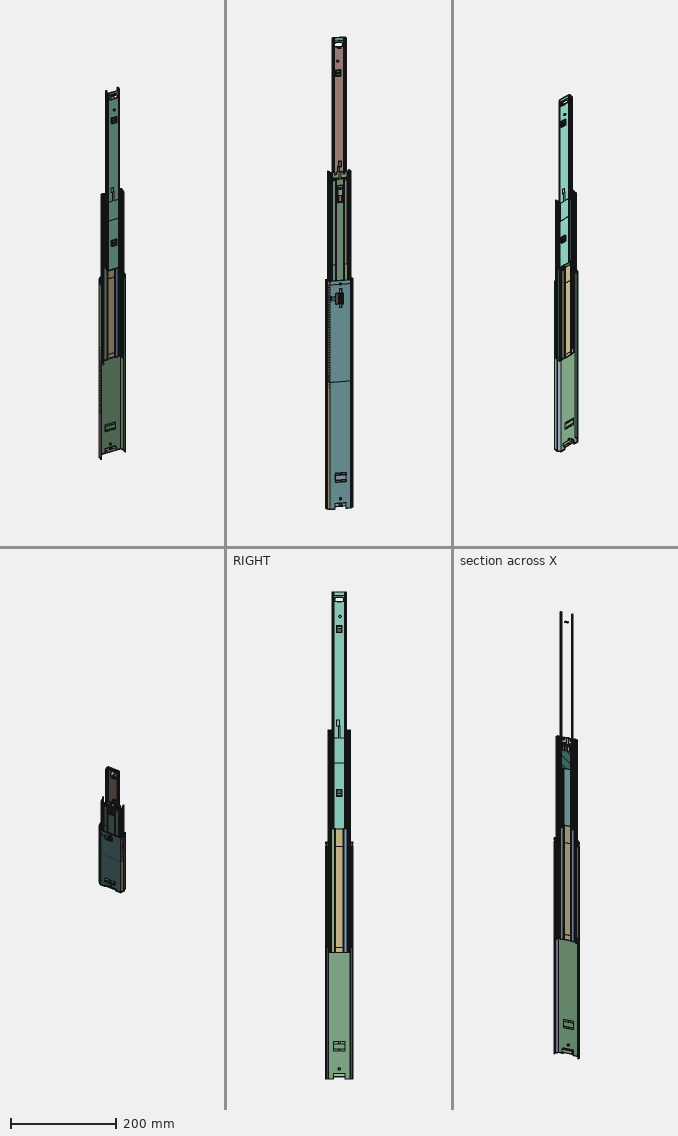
import cadquery as cq
import math


THICKNESS = 22.14
WIDTH = 51.89
LENGTH = 925.0

OUTER_LENGTH = 450.0
MIDDLE_BOTTOM = 240.0
MIDDLE_TOP = 663.0
INNER_LENGTH = 450.0
INNER_BOTTOM = LENGTH - INNER_LENGTH

OUTER_SHEET = 1.5
MIDDLE_SHEET = 1.3
INNER_SHEET = 1.3
BALL_GROOVE = 0.8

OUTER_BACK = 2.9
OUTER_FRONT = 16.6
MIDDLE_BACK = 6.0
MIDDLE_FRONT = 19.2
INNER_BACK = 9.8
INNER_FRONT = 19.15

OUTER_HALF = WIDTH / 2
MIDDLE_HALF = 21.45
INNER_HALF = 13.3

SMALL_HOLE = 4.0


def block(x_range, y_range, z_range):
    """Box between the given limits."""
    size = [high - low for low, high in (x_range, y_range, z_range)]
    return cq.Workplane("XY").box(*size, centered=False).translate((x_range[0], y_range[0], z_range[0]))


def hole_along_x(diameter, y, z):
    """Round cutter that crosses the whole slide along X."""
    return cq.Workplane("YZ").center(y, z).circle(diameter / 2).extrude(THICKNESS)


def unit_normal(start, end):
    """Left-hand unit normal of a segment."""
    dx, dy = end[0] - start[0], end[1] - start[1]
    length = math.hypot(dx, dy)
    return -dy / length, dx / length


def sheet_face(centreline, offset):
    """Points of the centreline moved sideways by the offset, with mitred corners."""
    normals = [unit_normal(a, b) for a, b in zip(centreline, centreline[1:])]
    before = normals[:1] + normals
    after = normals + normals[-1:]
    face = []
    for (x, y), (ax, ay), (bx, by) in zip(centreline, before, after):
        scale = offset / (1 + ax * bx + ay * by)
        face.append((x + scale * (ax + bx), y + scale * (ay + by)))
    return face


def bent_rail(half_centreline, sheet, bottom, top):
    """Sheet section given by the +Y half of its centreline, mirrored and extruded along Z."""
    mirrored = [(x, -y) for x, y in reversed(half_centreline)]
    centreline = mirrored + half_centreline
    outline = sheet_face(centreline, sheet / 2) + sheet_face(centreline, -sheet / 2)[::-1]
    section = cq.Workplane("XY").polyline(outline).close()
    return section.extrude(top - bottom).translate((0, 0, bottom))



WEB_HOLE_TO_END = 7.0
LOWER_HOLE_Z = 19.5
OUTER_WEB_HALF = 20.6
OUTER_SLANT_END = 8.8
OUTER_LIP_RADIUS = 0.49 * OUTER_SHEET
OUTER_WEB_FRONT = OUTER_BACK + OUTER_SHEET

FOOT_HALF = 10.8
FOOT_TOP = 11.0
FOOT_STOP_BOTTOM = 4.5
FOOT_STOP_SETBACK = 0.5
FOOT_STOP_FRONT = 9.0
FOOT_RECESS = (5.0, 3.0, 1.0)

PAD_HALF = 10.5
PAD_SPLIT_HALF = 1.4
PAD_RANGES_Z = ((53.5, 57.0), (67.0, 71.0))
PAD_RECESS_DEPTH = 0.4

TIP_SLOT_Y = (16.9, 19.2)
TIP_SLOT_Z = (411.0, 419.0)

FLANGE_GROOVE_Z = (443.0, 447.5)
GROOVE_DEPTH = 0.5


def flange_grooves():
    """Shallow cut across the outside of both flanges."""
    groove = block((OUTER_BACK, OUTER_FRONT), (OUTER_HALF - GROOVE_DEPTH, OUTER_HALF), FLANGE_GROOVE_Z)
    return groove.union(groove.mirror("XZ"))


def mounting_pads():
    """Four pads standing out of the back of the web, two above two."""
    pads = cq.Workplane("XY")
    for z_range in PAD_RANGES_Z:
        pad = block((0, OUTER_BACK), (PAD_SPLIT_HALF, PAD_HALF), z_range)
        pads = pads.union(pad).union(pad.mirror("XZ"))
    return pads


def pad_recess():
    """Shallow recess of the web between the upper and lower pads."""
    z_range = (PAD_RANGES_Z[0][1], PAD_RANGES_Z[1][0])
    return block((OUTER_BACK, OUTER_BACK + PAD_RECESS_DEPTH), (-PAD_HALF, PAD_HALF), z_range)


def foot_stop():
    """Stop lug bent inward from the foot of the web, with a small recess in its back."""
    back = OUTER_BACK + FOOT_STOP_SETBACK
    stop = block((back, FOOT_STOP_FRONT), (-FOOT_HALF, FOOT_HALF), (FOOT_STOP_BOTTOM, FOOT_TOP))
    width, height, depth = FOOT_RECESS
    middle_z = (FOOT_STOP_BOTTOM + FOOT_TOP) / 2
    return stop.cut(block(
        (back, back + depth),
        (-width / 2, width / 2),
        (middle_z - height / 2, middle_z + height / 2),
    ))


def make_outer_rail():
    back = OUTER_BACK + OUTER_SHEET / 2
    side = OUTER_HALF - OUTER_SHEET / 2
    half = [
        (back, OUTER_WEB_HALF),
        (OUTER_SLANT_END, side),
        (OUTER_FRONT, side),
    ]
    rail = bent_rail(half, OUTER_SHEET, 0, OUTER_LENGTH)
    rail = rail.faces(">X").edges("|Z").fillet(OUTER_LIP_RADIUS)
    rail = rail.union(mounting_pads()).cut(pad_recess())
    rail = rail.cut(hole_along_x(SMALL_HOLE, 0, OUTER_LENGTH - WEB_HOLE_TO_END))
    rail = rail.cut(hole_along_x(SMALL_HOLE, 0, LOWER_HOLE_Z))
    rail = rail.cut(block((OUTER_BACK, OUTER_WEB_FRONT), (-FOOT_HALF, FOOT_HALF), (0, FOOT_TOP)))
    rail = rail.union(foot_stop())
    rail = rail.cut(block((OUTER_BACK, OUTER_WEB_FRONT), TIP_SLOT_Y, TIP_SLOT_Z))
    return rail.cut(flange_grooves())



CATCH_Y = (-4.5, 10.0)
CATCH_Z = (404.5, 425.5)
CATCH_STEM_HALF = 2.2
CATCH_STEM_Z = (397.0, 434.0)
CATCH_STEM_BACK = 1.9
CATCH_EAR_END = 13.0
CATCH_SLOTS_Y = (-2.0, 1.5, 5.0)
CATCH_SLOT_WIDTH = 1.2
CATCH_SLOT_Z = (407.0, 423.0)


def make_catch():
    body = block((0, OUTER_BACK), CATCH_Y, CATCH_Z)
    stem = block((CATCH_STEM_BACK, OUTER_BACK), (-CATCH_STEM_HALF, CATCH_STEM_HALF), CATCH_STEM_Z)
    catch = body.union(stem)
    for y in CATCH_SLOTS_Y:
        slot_y = (y - CATCH_SLOT_WIDTH / 2, y + CATCH_SLOT_WIDTH / 2)
        catch = catch.cut(block((0, CATCH_STEM_BACK), slot_y, CATCH_SLOT_Z))
    ear = block((CATCH_STEM_BACK, OUTER_BACK), (CATCH_Y[1], CATCH_EAR_END), TIP_SLOT_Z)
    return catch.union(ear)



RIB_HALF = 7.0
RIB_FOOT = 8.7
MIDDLE_FLAT = 7.15
MIDDLE_FLAT_HALF = 14.8
RIDGE_RISE = 0.9
RIDGE_END = 18.0
MIDDLE_GROOVE_X = 13.6
MIDDLE_GROOVE_HALF = 1.4
MIDDLE_WEB_TOP = 649.0
HEAD_HALF = 14.5
MIDDLE_NOTCH_Z = (243.5, 248.0)
MIDDLE_NOTCH_DEPTH = 2.4

DETENT_HALF = 5.0
DETENT_Z = (603.0, 637.0)
DETENT_BACK = 4.8
DETENT_SLOT_HALF = 2.4
DETENT_SLOT_Z = (604.5, 617.0)
DETENT_HOLE_Z = 631.0


def detent():
    """Raised catch plate on the rib, with a window and a hole down to the rib."""
    plate = block((DETENT_BACK, MIDDLE_BACK), (-DETENT_HALF, DETENT_HALF), DETENT_Z)
    slot = block((DETENT_BACK, MIDDLE_BACK), (-DETENT_SLOT_HALF, DETENT_SLOT_HALF), DETENT_SLOT_Z)
    return plate.cut(slot).cut(hole_along_x(SMALL_HOLE, 0, DETENT_HOLE_Z))


def make_middle_rail():
    back = MIDDLE_BACK + MIDDLE_SHEET / 2
    flat = MIDDLE_FLAT + MIDDLE_SHEET / 2
    side = MIDDLE_HALF - MIDDLE_SHEET / 2
    half = [
        (back, RIB_HALF),
        (flat, RIB_FOOT),
        (flat, MIDDLE_FLAT_HALF),
        (flat - RIDGE_RISE, MIDDLE_FLAT_HALF + RIDGE_RISE),
        (flat - RIDGE_RISE, RIDGE_END),
        (flat, RIDGE_END + RIDGE_RISE),
        (flat, side),
        (MIDDLE_GROOVE_X - MIDDLE_GROOVE_HALF, side),
        (MIDDLE_GROOVE_X, side - BALL_GROOVE),
        (MIDDLE_GROOVE_X + MIDDLE_GROOVE_HALF, side),
        (MIDDLE_FRONT - MIDDLE_SHEET / 2, side),
    ]
    rail = bent_rail(half, MIDDLE_SHEET, MIDDLE_BOTTOM, MIDDLE_TOP)
    head = block((0, MIDDLE_FRONT), (-HEAD_HALF, HEAD_HALF), (MIDDLE_WEB_TOP, MIDDLE_TOP))
    notch = block(
        (MIDDLE_FRONT - MIDDLE_NOTCH_DEPTH, MIDDLE_FRONT),
        (-MIDDLE_HALF, MIDDLE_HALF),
        MIDDLE_NOTCH_Z,
    )
    return rail.cut(head).cut(notch).union(detent())



HEAD_WINDOW_Y = (6.5, 10.0)
HEAD_WINDOW_Z = (658.0, MIDDLE_TOP)
HEAD_BASE_TOP = 651.5
HEAD_SPINE_HALF = 2.0


def make_head_bumper():
    x_range = (MIDDLE_FLAT, MIDDLE_FLAT + MIDDLE_SHEET)
    bumper = block(x_range, (-HEAD_HALF, HEAD_HALF), (MIDDLE_WEB_TOP, MIDDLE_TOP))
    base = block((MIDDLE_BACK, MIDDLE_FLAT), (-HEAD_HALF, HEAD_HALF), (MIDDLE_WEB_TOP, HEAD_BASE_TOP))
    spine = block((MIDDLE_BACK, MIDDLE_FLAT), (-HEAD_SPINE_HALF, HEAD_SPINE_HALF), (HEAD_BASE_TOP, MIDDLE_TOP))
    slot = block(x_range, HEAD_WINDOW_Y, HEAD_WINDOW_Z)
    return bumper.union(base).union(spine).cut(slot).cut(slot.mirror("XZ"))



INNER_WEB_BACK = INNER_FRONT - INNER_SHEET
INNER_WEB_HALF = 10.5
INNER_BEND_X = 17.0
INNER_GROOVE_X = 12.6
INNER_GROOVE_HALF = 1.0
INNER_LIP_HALF = 10.5
WINDOW_HALF = 8.3
WINDOW_Z = (907.0, 915.0)
WINDOW_CORNER = 2.5
STOP_TAB_HALF = 3.0
STOP_TAB_BACK = 9.5
TIP_RELIEF_Z = 918.5
TIP_RELIEF_DEPTH = 0.4
MARK_HOLE_Y = 1.5
MARK_HOLE_Z = 878.5
HOOK_HALF = 5.5
HOOK_LENGTH = 13.0
HOOK_CENTRES_Z = (854.5, 543.5)
HOOK_WALL = 1.3


def hook(z):
    """Lanced bridge that stands out of the front of the inner web."""
    z_range = (z - HOOK_LENGTH / 2, z + HOOK_LENGTH / 2)
    return block((INNER_FRONT, THICKNESS), (-HOOK_HALF, HOOK_HALF), z_range)


def hook_hollow(z):
    """Two hollows behind a hook, open to the back of the web and parted by a crossbar."""
    half_width = HOOK_HALF - HOOK_WALL
    half_length = HOOK_LENGTH / 2 - HOOK_WALL
    x_range = (INNER_WEB_BACK, THICKNESS - HOOK_WALL)
    hollow = block(x_range, (-half_width, half_width), (z - half_length, z + half_length))
    crossbar = block(x_range, (-half_width, half_width), (z - HOOK_WALL, z + HOOK_WALL))
    return hollow.cut(crossbar)


def make_inner_rail():
    web = INNER_FRONT - INNER_SHEET / 2
    lip = INNER_BACK + INNER_SHEET / 2
    side = INNER_HALF - INNER_SHEET / 2
    half = [
        (web, INNER_WEB_HALF),
        (INNER_BEND_X, side),
        (INNER_GROOVE_X + INNER_GROOVE_HALF, side),
        (INNER_GROOVE_X, side - BALL_GROOVE),
        (INNER_GROOVE_X - INNER_GROOVE_HALF, side),
        (lip, side),
        (lip, INNER_LIP_HALF),
    ]
    rail = bent_rail(half, INNER_SHEET, INNER_BOTTOM, LENGTH)
    window = block((INNER_WEB_BACK, INNER_FRONT), (-WINDOW_HALF, WINDOW_HALF), WINDOW_Z)
    window = window.edges("|X and >Z").chamfer(WINDOW_CORNER)
    relief = block(
        (INNER_WEB_BACK, INNER_WEB_BACK + TIP_RELIEF_DEPTH),
        (-INNER_WEB_HALF, INNER_WEB_HALF),
        (TIP_RELIEF_Z, LENGTH),
    )
    stop_tab = block(
        (STOP_TAB_BACK, INNER_FRONT),
        (-STOP_TAB_HALF, STOP_TAB_HALF),
        (WINDOW_Z[0] - INNER_SHEET, WINDOW_Z[0]),
    )
    rail = rail.cut(window).cut(relief).union(stop_tab)
    rail = rail.cut(hole_along_x(SMALL_HOLE, MARK_HOLE_Y, MARK_HOLE_Z))
    for z in HOOK_CENTRES_Z:
        rail = rail.union(hook(z)).cut(hook_hollow(z))
    return rail



LEVER_STEM_HALF = 1.6
LEVER_BASE_TOP = 648.0
LEVER_BEND_Z = 670.5
LEVER_TOP = 681.5
LEVER_HEAD_Y = (-5.0, 0.0)
LEVER_BACK = 15.5
LEVER_BASE_HALF = 10.0
LEVER_BASE_BACK = 11.5
LEVER_BASE_BOTTOM = 600.0
LEVER_POCKET_Y = (3.0, 7.0)
LEVER_POCKET_X = (13.0, 16.0)
LEVER_POCKET_DEPTH = 10.0


def make_lever():
    x_range = (LEVER_BACK, INNER_WEB_BACK)
    stem = block(x_range, (-LEVER_STEM_HALF, LEVER_STEM_HALF), (LEVER_BASE_TOP, LEVER_BEND_Z))
    head = block(x_range, LEVER_HEAD_Y, (LEVER_BEND_Z, LEVER_TOP))
    base = block(
        (LEVER_BASE_BACK, INNER_WEB_BACK),
        (-LEVER_BASE_HALF, LEVER_BASE_HALF),
        (LEVER_BASE_BOTTOM, LEVER_BASE_TOP),
    )
    pocket = block(LEVER_POCKET_X, LEVER_POCKET_Y, (LEVER_BASE_TOP - LEVER_POCKET_DEPTH, LEVER_BASE_TOP))
    return base.cut(pocket).cut(pocket.mirror("XZ")).union(stem).union(head)



CAGE_SHEET = 0.6
OUTER_CAGE_Z = (250.0, 442.0)
OUTER_CAGE_HALF = [(5.2, 20.4), (8.0, 22.9), (15.0, 22.9)]
INNER_CAGE_Z = (480.0, 646.0)
INNER_CAGE_HALF = [(9.1, 14.5), (18.5, 14.5)]


def make_cage(half_centreline, z_range):
    """Channel-shaped ball retainer that wraps the narrower of its two rails."""
    bottom, top = z_range
    return bent_rail(half_centreline, CAGE_SHEET, bottom, top)


bodies = [
    make_outer_rail(),
    make_catch(),
    make_cage(OUTER_CAGE_HALF, OUTER_CAGE_Z),
    make_middle_rail(),
    make_head_bumper(),
    make_cage(INNER_CAGE_HALF, INNER_CAGE_Z),
    make_inner_rail(),
    make_lever(),
]
result = cq.Compound.makeCompound([body.val() for body in bodies])